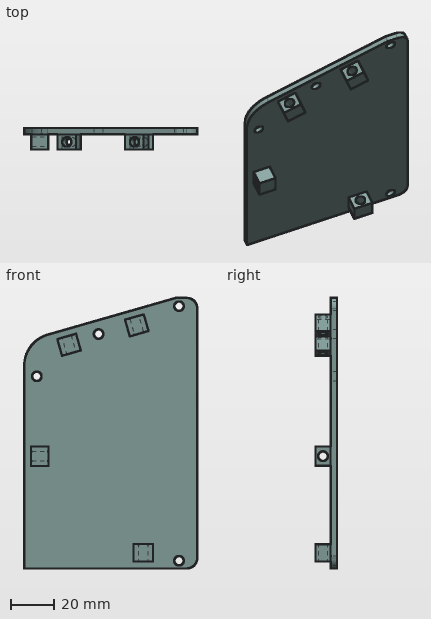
import cadquery as cq
import math

plate_width = 80.0
plate_height = 125.0
plate_thickness = 3.0
top_flat_start = 70.1
slope_angle = 16.0
large_corner_radius = 15.0
small_corner_radius = 5.0

plate_hole_diameter = 4.2
plate_hole_centers = [(71.5, 121.1), (34.4, 108.2), (5.9, 88.8), (71.5, 3.6)]

block_length = 9.0
block_depth = 8.0
block_height = 7.0
block_hole_diameter = 4.4
edge_gap = 3.2
left_block_z = 51.9
bottom_block_x = 55.0
upper_block_x = [20.8, 52.0]

slope = math.tan(math.radians(slope_angle))
center_inset = edge_gap + block_depth / 2


def slope_edge_z(x):
    """Height of the sloping top edge at a given X."""
    return plate_height - (top_flat_start - x) * slope


def make_plate():
    """Plate with a sloping top, three rounded corners and through holes."""
    outline = [
        (0, 0),
        (plate_width, 0),
        (plate_width, plate_height),
        (top_flat_start, plate_height),
        (0, slope_edge_z(0)),
    ]
    plate = cq.Workplane("XZ").polyline(outline).close().extrude(-plate_thickness)
    plate = plate.edges("|Y and >X").fillet(small_corner_radius)
    large_corner = cq.selectors.NearestToPointSelector((0, plate_thickness / 2, slope_edge_z(0)))
    plate = plate.edges("|Y").edges(large_corner).fillet(large_corner_radius)
    holes = (
        cq.Workplane("XZ")
        .pushPoints(plate_hole_centers)
        .circle(plate_hole_diameter / 2)
        .extrude(-plate_thickness)
    )
    return plate.cut(holes)


def make_block(x, z, angle):
    """Block whose length runs at the given angle to X, drilled across its depth."""
    block = cq.Workplane("XY").box(block_length, block_height, block_depth)
    block = block.faces(">Z").workplane().hole(block_hole_diameter)
    block = block.rotate((0, 0, 0), (0, -1, 0), angle)
    return block.translate((x, -block_height / 2, z))


result = make_plate()
result = result.union(make_block(center_inset, left_block_z, 90))
result = result.union(make_block(bottom_block_x, center_inset, 0))
for block_x in upper_block_x:
    block_z = slope_edge_z(block_x) - center_inset / math.cos(math.radians(slope_angle))
    result = result.union(make_block(block_x, block_z, slope_angle))